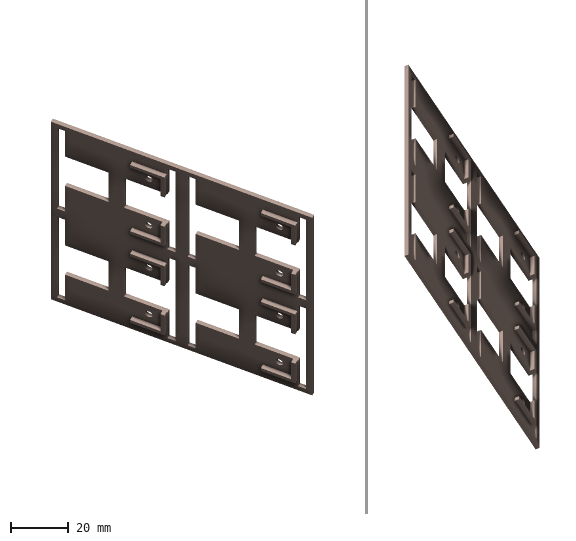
import cadquery as cq

plate_side = 100.0
plate_thickness = 1.5
panels_per_side = 2
panel_pitch = plate_side / panels_per_side

opening_span = 45.3
board_width = 39.2
slot_width = (opening_span - board_width) / 2
neck_width = 6.0
window_height = 16.5
window_width = opening_span / 2 - neck_width / 2

rail_thickness = 1.6
rail_height = 1.7
rail_edge_gap = 0.3
rail_length_x = 13.2
rail_length_z = 11.2
hole_diameter = 3.0
hole_offset_x = 12.4
hole_offset_z = 13.1

cut_margin = 1.0
panel_steps = [(i - (panels_per_side - 1) / 2) * panel_pitch for i in range(panels_per_side)]
panel_centers = [(x, z) for x in panel_steps for z in panel_steps]
sides = (-1, 1)


def box_between(x_min, x_max, y_min, y_max, z_min, z_max):
    """Box given by its limits along each axis."""
    size = (x_max - x_min, y_max - y_min, z_max - z_min)
    return cq.Workplane("XY").box(*size, centered=False).translate((x_min, y_min, z_min))


def side_opening(side):
    """Slot and window on one side of the neck, about the panel center."""
    depth = plate_thickness + 2 * cut_margin
    outer_x = opening_span / 2
    slot = cq.Workplane("XY").box(slot_width, depth, opening_span)
    slot = slot.translate((side * (outer_x - slot_width / 2), plate_thickness / 2, 0))
    window = cq.Workplane("XY").box(window_width, depth, window_height)
    window = window.translate((side * (outer_x - window_width / 2), plate_thickness / 2, 0))
    return slot.union(window)


def screw_hole(side):
    """Through-hole above or below the window, about the panel center."""
    return (
        cq.Workplane("XZ", origin=(hole_offset_x, -cut_margin, side * hole_offset_z))
        .circle(hole_diameter / 2)
        .extrude(-(plate_thickness + 2 * cut_margin))
    )


def upper_rail():
    """L-shaped rail above the window: an upright leg and a leg running inwards along its top."""
    right = board_width / 2 - rail_edge_gap
    bottom = window_height / 2
    top = bottom + rail_length_z
    upright = box_between(right - rail_thickness, right, -rail_height, 0, bottom, top)
    crossbar = box_between(right - rail_length_x, right, -rail_height, 0, top - rail_thickness, top)
    return upright.union(crossbar)


plate = cq.Workplane("XY").box(plate_side, plate_thickness, plate_side)
result = plate.translate((0, plate_thickness / 2, 0))

rail_above = upper_rail()
rail_pair = (rail_above, rail_above.mirror("XY"))

for x, z in panel_centers:
    for side in sides:
        result = result.cut(side_opening(side).translate((x, 0, z)))
        result = result.cut(screw_hole(side).translate((x, 0, z)))
    for rail in rail_pair:
        result = result.union(rail.translate((x, 0, z)))